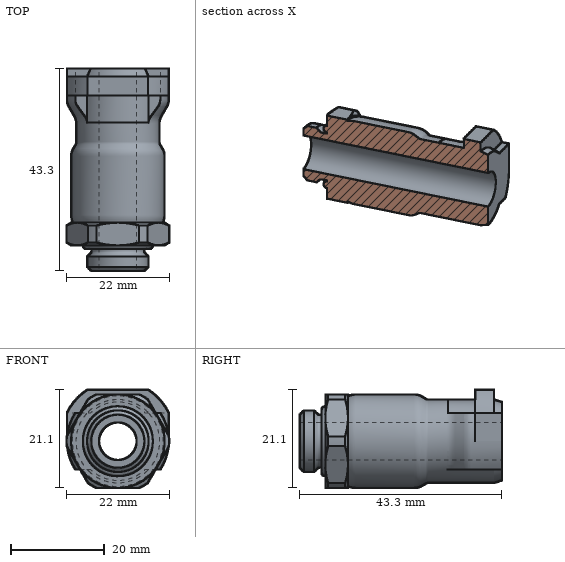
import cadquery as cq
import math

LENGTH = 43.25
BORE_RADIUS = 4.0

THREAD_RADIUS = 6.57
UNDERCUT_RADIUS = 5.65
TIP_CHAMFER = THREAD_RADIUS - UNDERCUT_RADIUS
THREAD_REAR = 3.1
UNDERCUT_ANGLE = 45
UNDERCUT_FILLET = 0.48

HEX_FRONT = 5.5
HEX_REAR = 10.35
HEX_ACROSS_FLATS = 20.0
HEX_CORNER_RADIUS = 11.0
HEX_TURN = 30
HEX_CHAMFER_LENGTH = 0.6

SEAL_TUBE_RADIUS = 0.82
SEAL_OUTER_RADIUS = 7.5

BODY_RADIUS = 10.0
BODY_STRAIGHT_FRONT = 11.85
BODY_STRAIGHT_REAR = 24.6
BODY_FRONT_ANGLE = 15
BODY_FRONT_FILLET = 3.03
NECK_RADIUS = 8.9
NECK_FILLET = 1.05
REAR_CHAMFER_LENGTH = 1.7
REAR_CHAMFER_DEPTH = 0.5

WING_RADIUS = 10.9
WING_HALF_HEIGHT = 6.05
WING_STRAIGHT_FRONT = 36.6
WING_FILLET = 3.1
LIP_REAR = 31.75

SHOULDER_ANGLE = 30
SHOULDER_FILLET = 2.85

BLOCK_FRONT = 37.5
BLOCK_REAR = LENGTH - REAR_CHAMFER_LENGTH
BLOCK_TOP = 11.05
BLOCK_TOP_HALF_WIDTH = 6.5
BLOCK_CORNER_RADIUS = 12.55


def revolve_about_y(profile):
    return profile.close().revolve(360, (0, 0, 0), (0, 1, 0))


def arc_step(radius, angle):
    """Radial and axial travel of an arc turning from the axis direction to the given angle."""
    turn = math.radians(angle)
    return radius * (1 - math.cos(turn)), radius * math.sin(turn)


def blended_slope(profile, low, low_fillet, high, high_fillet, angle, direction):
    """Draw a cone with tangent arcs from its high end, a (radius, y) point, down to the low radius.

    The direction is +1 or -1 and tells which way along Y the slope falls.
    """
    high_radius, high_y = high
    high_dr, high_dy = arc_step(high_fillet, angle)
    low_dr, low_dy = arc_step(low_fillet, angle)
    high_mid_dr, high_mid_dy = arc_step(high_fillet, angle / 2)
    low_mid_dr, low_mid_dy = arc_step(low_fillet, angle / 2)
    cone_height = high_radius - low - high_dr - low_dr
    cone_end_y = high_y + direction * (high_dy + cone_height / math.tan(math.radians(angle)))
    low_y = cone_end_y + direction * low_dy
    return (
        profile
        .threePointArc(
            (high_radius - high_mid_dr, high_y + direction * high_mid_dy),
            (high_radius - high_dr, high_y + direction * high_dy),
        )
        .lineTo(low + low_dr, cone_end_y)
        .threePointArc((low + low_mid_dr, low_y - direction * low_mid_dy), (low, low_y))
    )


def make_tip():
    fillet_dr, fillet_dy = arc_step(UNDERCUT_FILLET, UNDERCUT_ANGLE)
    mid_dr, mid_dy = arc_step(UNDERCUT_FILLET, UNDERCUT_ANGLE / 2)
    cone_height = THREAD_RADIUS - UNDERCUT_RADIUS - fillet_dr
    cone_rear = THREAD_REAR + cone_height / math.tan(math.radians(UNDERCUT_ANGLE))
    groove_front = cone_rear + fillet_dy
    profile = (
        cq.Workplane("XY")
        .lineTo(THREAD_RADIUS - TIP_CHAMFER, 0)
        .lineTo(THREAD_RADIUS, TIP_CHAMFER)
        .lineTo(THREAD_RADIUS, THREAD_REAR)
        .lineTo(UNDERCUT_RADIUS + fillet_dr, cone_rear)
        .threePointArc((UNDERCUT_RADIUS + mid_dr, groove_front - mid_dy), (UNDERCUT_RADIUS, groove_front))
        .lineTo(UNDERCUT_RADIUS, HEX_REAR)
        .lineTo(0, HEX_REAR)
    )
    return revolve_about_y(profile)


def make_seal():
    center = SEAL_OUTER_RADIUS - SEAL_TUBE_RADIUS
    return (
        cq.Workplane("XY")
        .center(center, HEX_FRONT)
        .circle(SEAL_TUBE_RADIUS)
        .revolve(360, (-center, 0, 0), (-center, 1, 0))
    )


def make_nut():
    flat_radius = HEX_ACROSS_FLATS / 2
    hexagon = (
        cq.Workplane("XZ", origin=(0, HEX_FRONT, 0))
        .polygon(6, HEX_ACROSS_FLATS, circumscribed=True)
        .extrude(HEX_FRONT - HEX_REAR)
        .rotate((0, 0, 0), (0, 1, 0), HEX_TURN)
    )
    envelope = revolve_about_y(
        cq.Workplane("XY")
        .moveTo(0, HEX_FRONT)
        .lineTo(flat_radius, HEX_FRONT)
        .lineTo(HEX_CORNER_RADIUS, HEX_FRONT + HEX_CHAMFER_LENGTH)
        .lineTo(HEX_CORNER_RADIUS, HEX_REAR - HEX_CHAMFER_LENGTH)
        .lineTo(flat_radius, HEX_REAR)
        .lineTo(0, HEX_REAR)
    )
    return hexagon.intersect(envelope)


def make_body():
    front_dr, front_dy = arc_step(BODY_FRONT_FILLET, BODY_FRONT_ANGLE)
    mid_dr, mid_dy = arc_step(BODY_FRONT_FILLET, BODY_FRONT_ANGLE / 2)
    cone_length = BODY_STRAIGHT_FRONT - front_dy - HEX_REAR
    front_radius = BODY_RADIUS - front_dr - cone_length * math.tan(math.radians(BODY_FRONT_ANGLE))
    profile = (
        cq.Workplane("XY")
        .moveTo(0, HEX_REAR)
        .lineTo(front_radius, HEX_REAR)
        .lineTo(BODY_RADIUS - front_dr, BODY_STRAIGHT_FRONT - front_dy)
        .threePointArc(
            (BODY_RADIUS - mid_dr, BODY_STRAIGHT_FRONT - mid_dy),
            (BODY_RADIUS, BODY_STRAIGHT_FRONT),
        )
        .lineTo(BODY_RADIUS, BODY_STRAIGHT_REAR)
    )
    profile = blended_slope(
        profile, NECK_RADIUS, NECK_FILLET,
        (BODY_RADIUS, BODY_STRAIGHT_REAR), SHOULDER_FILLET, SHOULDER_ANGLE, 1,
    )
    profile = (
        profile
        .lineTo(NECK_RADIUS, LENGTH - REAR_CHAMFER_LENGTH)
        .lineTo(NECK_RADIUS - REAR_CHAMFER_DEPTH, LENGTH)
        .lineTo(0, LENGTH)
    )
    return revolve_about_y(profile)


def make_wings():
    """Flared sides, whose thin front edge also runs over the top of the neck as a lip."""
    profile = (
        cq.Workplane("XY")
        .moveTo(BORE_RADIUS, LENGTH)
        .lineTo(WING_RADIUS, LENGTH)
        .lineTo(WING_RADIUS, WING_STRAIGHT_FRONT)
    )
    profile = blended_slope(
        profile, NECK_RADIUS, WING_FILLET,
        (WING_RADIUS, WING_STRAIGHT_FRONT), SHOULDER_FILLET, SHOULDER_ANGLE, -1,
    )
    profile = profile.lineTo(BORE_RADIUS, BODY_STRAIGHT_REAR)
    slab = cq.Workplane("XY").box(2 * WING_RADIUS, 2 * LENGTH, 2 * WING_HALF_HEIGHT)
    lip_room = cq.Workplane("XY").box(
        2 * WING_RADIUS, LIP_REAR, WING_RADIUS, centered=(True, False, False)
    )
    return revolve_about_y(profile).intersect(slab.union(lip_room))


def make_rear_plate():
    """Square shoulders filling the wings from the axis up to the key block."""
    return (
        cq.Workplane("XY")
        .box(2 * WING_RADIUS, LENGTH - BLOCK_FRONT, WING_HALF_HEIGHT, centered=(True, False, False))
        .translate((0, BLOCK_FRONT, 0))
    )


def make_key_block():
    return (
        cq.Workplane("XZ", origin=(0, BLOCK_FRONT, 0))
        .moveTo(-WING_RADIUS, 0)
        .lineTo(WING_RADIUS, 0)
        .lineTo(WING_RADIUS, WING_HALF_HEIGHT)
        .radiusArc((BLOCK_TOP_HALF_WIDTH, BLOCK_TOP), -BLOCK_CORNER_RADIUS)
        .lineTo(-BLOCK_TOP_HALF_WIDTH, BLOCK_TOP)
        .radiusArc((-WING_RADIUS, WING_HALF_HEIGHT), -BLOCK_CORNER_RADIUS)
        .close()
        .extrude(BLOCK_FRONT - BLOCK_REAR)
    )


bore = cq.Workplane("XZ").circle(BORE_RADIUS).extrude(-LENGTH)

result = (
    make_body()
    .union(make_nut())
    .union(make_tip())
    .union(make_seal())
    .union(make_wings())
    .union(make_rear_plate())
    .union(make_key_block())
    .cut(bore)
)